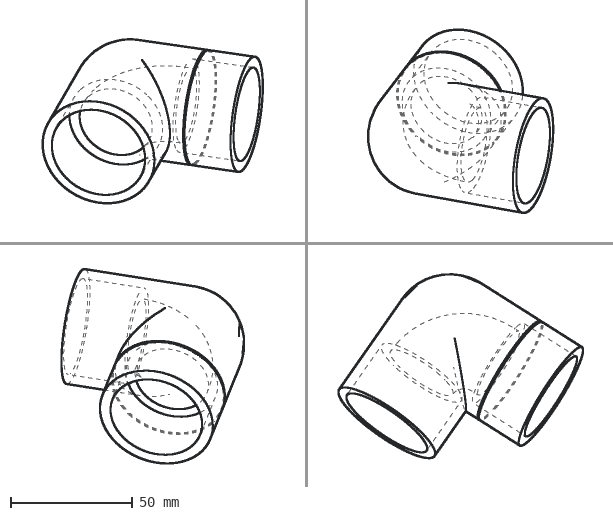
import cadquery as cq

outer_diameter = 48.0
outer_radius = outer_diameter / 2
x_reach = 74 - outer_radius
y_reach = 71.0 - outer_radius
bore_diameter = 31.15

pipe_socket_diameter = 40.0
adapter_socket_diameter = 38.9
socket_depth = 26.0

bend_radius = y_reach - socket_depth

collar_length = 19.8
groove_width = 0.5
groove_depth = 0.5

x_end = cq.Plane(origin=(x_reach, 0, 0), xDir=(0, 1, 0), normal=(-1, 0, 0))
y_end = cq.Plane(origin=(0, -y_reach, 0), xDir=(1, 0, 0), normal=(0, 1, 0))


def cylinder(end_plane, diameter, length):
    """Cylinder running inwards from an open end."""
    return cq.Workplane(end_plane).circle(diameter / 2).extrude(length)


def elbow_body():
    """Two cylinders meeting at the origin, rounded by a sphere."""
    x_arm = cylinder(x_end, outer_diameter, x_reach)
    y_arm = cylinder(y_end, outer_diameter, y_reach)
    return cq.Workplane("XY").sphere(outer_radius).union(x_arm).union(y_arm)


def bent_bore():
    """Straight bores from both ends, joined by a smooth quarter bend."""
    bend = (
        cq.Workplane(y_end)
        .workplane(offset=socket_depth)
        .circle(bore_diameter / 2)
        .revolve(90, (bend_radius, 0, 0), (bend_radius, 1, 0))
    )
    x_bore = cylinder(x_end, bore_diameter, x_reach - bend_radius)
    y_bore = cylinder(y_end, bore_diameter, socket_depth)
    return bend.union(x_bore).union(y_bore)


def collar_groove():
    """Ring cut around the X arm behind its collar."""
    return (
        cq.Workplane(x_end)
        .workplane(offset=collar_length)
        .circle(outer_radius + groove_depth)
        .circle(outer_radius - groove_depth)
        .extrude(groove_width)
    )


result = (
    elbow_body()
    .cut(bent_bore())
    .cut(cylinder(y_end, pipe_socket_diameter, socket_depth))
    .cut(cylinder(x_end, adapter_socket_diameter, socket_depth))
    .cut(collar_groove())
)